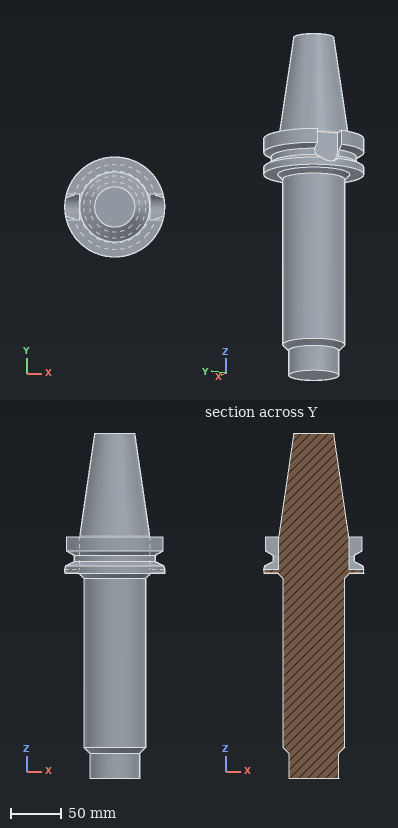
import cadquery as cq
import math


gauge_diameter = 69.85
taper_length = 101.8
taper_ratio = 7 / 24
shank_tip_diameter = gauge_diameter - taper_ratio * taper_length

flange_diameter = 100.0
flange_top = -1.5
flange_bottom = -38.0

groove_diameter = 85.0
groove_center = -23.2
groove_mouth_width = 15.0
groove_wall_angle = 30.0
groove_depth = (flange_diameter - groove_diameter) / 2
groove_wall_rise = groove_depth * math.tan(math.radians(groove_wall_angle))
groove_floor_width = groove_mouth_width - 2 * groove_wall_rise

slot_width = 25.7
slot_floor_distance = 35.4
slot_bottom = -34.0

collar_diameter = 72.0
body_diameter = 62.0
nose_diameter = 50.0
nose_length = 25.3
gauge_projection = 243.0

collar_height = (collar_diameter - body_diameter) / 2
collar_bottom = flange_bottom - collar_height
nose_bottom = -gauge_projection
nose_top = nose_bottom + nose_length
shoulder_height = (body_diameter - nose_diameter) / 2
body_bottom = nose_top + shoulder_height


def make_turned_body():
    """Revolve the half profile, listed as (diameter, height) from tip to nose."""
    profile = [
        (0, taper_length),
        (shank_tip_diameter, taper_length),
        (gauge_diameter, 0),
        (gauge_diameter, flange_top),
        (flange_diameter, flange_top),
        (flange_diameter, groove_center + groove_mouth_width / 2),
        (groove_diameter, groove_center + groove_floor_width / 2),
        (groove_diameter, groove_center - groove_floor_width / 2),
        (flange_diameter, groove_center - groove_mouth_width / 2),
        (flange_diameter, flange_bottom),
        (collar_diameter, flange_bottom),
        (body_diameter, collar_bottom),
        (body_diameter, body_bottom),
        (nose_diameter, nose_top),
        (nose_diameter, nose_bottom),
        (0, nose_bottom),
    ]
    points = [(diameter / 2, height) for diameter, height in profile]
    return cq.Workplane("XZ").polyline(points).close().revolve(360, (0, 0), (0, 1))


def make_drive_slot(side):
    """Round-bottomed slot, open at the flange top, on the +X (1) or -X (-1) side."""
    half_width = slot_width / 2
    arc_center = slot_bottom + half_width
    cut_depth = flange_diameter / 2 - slot_floor_distance
    return (
        cq.Workplane("YZ", origin=(side * slot_floor_distance, 0, 0))
        .moveTo(-half_width, flange_top)
        .lineTo(-half_width, arc_center)
        .threePointArc((0, slot_bottom), (half_width, arc_center))
        .lineTo(half_width, flange_top)
        .close()
        .extrude(side * cut_depth)
    )


result = make_turned_body()
for slot_side in (-1, 1):
    result = result.cut(make_drive_slot(slot_side))